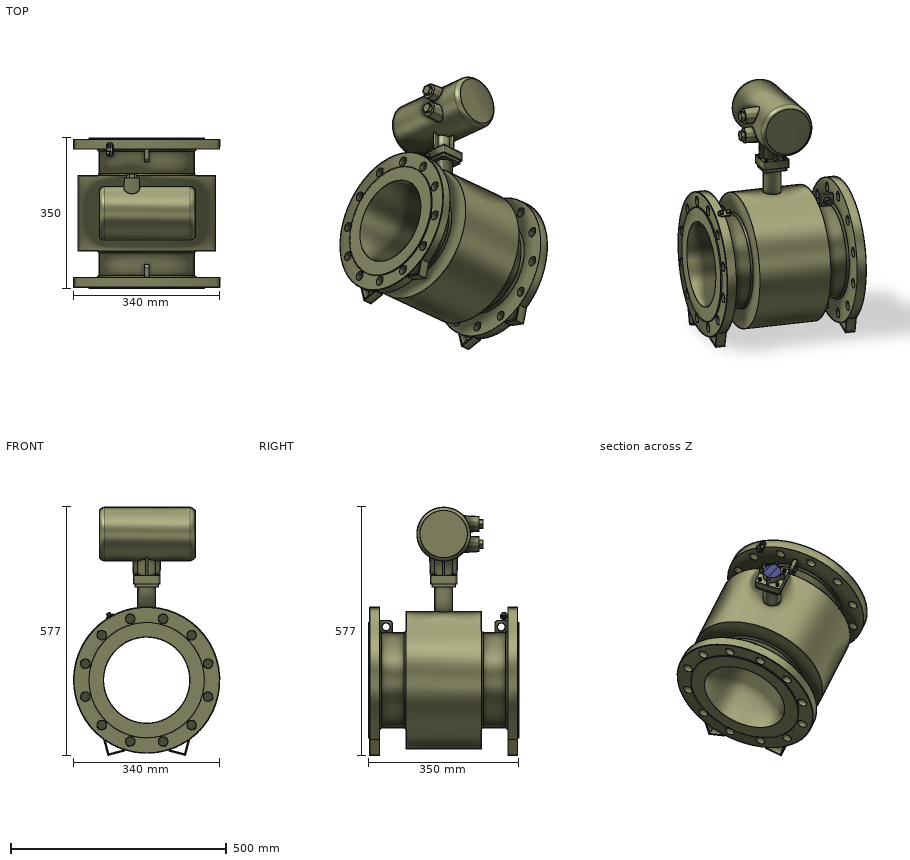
import cadquery as cq
import math


TOTAL_LENGTH = 350
TOTAL_HEIGHT = 577
BORE_DIA = 200
NECK_DIA = 221.5
BODY_DIA = 320
BODY_LENGTH = 175
FLANGE_DIA = 340
FLANGE_THICKNESS = 23
FLANGE_EDGE_CHAMFER = 1
RAISED_FACE_DIA = 268
RAISED_FACE_HEIGHT = 3
WELD_LENGTH = 5
FLANGE_WELD_RISE = 5
BODY_WELD_RISE = 3

FACE_Y = TOTAL_LENGTH / 2
FLANGE_FRONT_Y = FACE_Y - RAISED_FACE_HEIGHT
FLANGE_BACK_Y = FLANGE_FRONT_Y - FLANGE_THICKNESS
FLANGE_RADIUS = FLANGE_DIA / 2
NECK_RADIUS = NECK_DIA / 2
BODY_RADIUS = BODY_DIA / 2

BOLT_COUNT = 12
BOLT_HOLE_DIA = 22
BOLT_CIRCLE_DIA = 295
BOLT_PITCH_ANGLE = 360 / BOLT_COUNT

LUG_WIDTH = 10
LUG_LENGTH = 30
LUG_HEIGHT = 28
LUG_SINK = 5
LUG_CORNER_RADIUS = 8
LUG_HOLE_DIA = 18
LUG_HOLE_OFFSET = 15
LUG_HOLE_HEIGHT = 13

FOOT_CORNER_X = 90
FOOT_BOTTOM_Z = -175
FOOT_TILT = 15
FOOT_SIDE_LENGTH = 40
FOOT_BASE_LENGTH = 40
FOOT_SHEET = 3

EARTH_ANGLE = 30
EARTH_PLATE_WIDTH = 17
EARTH_PLATE_LENGTH = 32
EARTH_PLATE_THICKNESS = 4
EARTH_PLATE_END_Y = 164
EARTH_PLATE_SINK = 1
RIM_SCREW_DIA = 8
RIM_SCREW_HEAD_HEIGHT = 3
RIM_SCREW_DEPTH = 8
TERMINAL_BOLT_DIA = 5
TERMINAL_HEAD_DIA = 9
TERMINAL_HEAD_HEIGHT = 6.5
TERMINAL_NUT_HEIGHT = 4
TERMINAL_BOLT_END = 2

STEM_DIA = 42
LOWER_PLATE_BOTTOM_Z = 216
LOWER_PLATE_SIDE = 55
LOWER_PLATE_THICKNESS = 8
UPPER_PLATE_SIDE = 62
UPPER_PLATE_THICKNESS = 19
PLATE_CORNER_RADIUS = 3
UPPER_PLATE_BOTTOM_Z = LOWER_PLATE_BOTTOM_Z + LOWER_PLATE_THICKNESS
UPPER_PLATE_TOP_Z = UPPER_PLATE_BOTTOM_Z + UPPER_PLATE_THICKNESS
PLATE_SCREW_DIA = 8
PLATE_SCREW_SPACING = 44
PLATE_SCREW_HEIGHT = 4
PLATE_SCREW_SOCKET_DIA = 4.23
PLATE_SCREW_SOCKET_DEPTH = 2

HOUSING_DIA = 125
HOUSING_TOP_Z = TOTAL_HEIGHT + FOOT_BOTTOM_Z
HOUSING_Z = HOUSING_TOP_Z - HOUSING_DIA / 2
HOUSING_CENTRE_X = 1
HOUSING_BARREL_LENGTH = 199
HOUSING_CAP_LENGTH = 11.4
HOUSING_END_DIA = 110
HOUSING_CAP_BULGE = 1.2
HOUSING_LIP = 1.7

RIB_THICKNESS = 5
RIB_EDGE_RADIUS = 2.4
RIB_REACH_BOTTOM = 31
RIB_REACH_TOP = 35

GLAND_X = -34.5
GLAND_OFFSET_Z = 23.5
GLAND_TIP_Y = 82.5
GLAND_TIP_DIA = 34.5
GLAND_ROOT_Y = 40
GLAND_TAPER = 3.5
PLUG_ACROSS_FLATS = 20.5
PLUG_LENGTH = 9


def disc(radius, y_start, y_end):
    """Cylinder on the flow axis between two Y positions."""
    return cq.Workplane("XZ", origin=(0, y_start, 0)).circle(radius).extrude(y_start - y_end)


def post(radius, z_start, z_end):
    """Vertical cylinder on the Z axis."""
    return cq.Workplane("XY").workplane(offset=z_start).circle(radius).extrude(z_end - z_start)


def square_plate(side, z_bottom, thickness):
    """Square plate centred on the Z axis with rounded vertical corners."""
    plate = cq.Workplane("XY").workplane(offset=z_bottom).rect(side, side).extrude(thickness)
    return plate.edges("|Z").fillet(PLATE_CORNER_RADIUS)


def both_ends(shape):
    """The shape together with its mirror image at the other end of the tube."""
    return shape.union(shape.mirror("XZ"))


def make_tube():
    """Turned tube: body, welds, necks, flanges and raised faces, revolved as one outline."""
    body_end = BODY_LENGTH / 2
    half_profile = [
        (BODY_RADIUS, body_end),
        (NECK_RADIUS + BODY_WELD_RISE, body_end),
        (NECK_RADIUS, body_end + WELD_LENGTH),
        (NECK_RADIUS, FLANGE_BACK_Y - WELD_LENGTH),
        (NECK_RADIUS + FLANGE_WELD_RISE, FLANGE_BACK_Y),
        (FLANGE_RADIUS, FLANGE_BACK_Y),
        (FLANGE_RADIUS, FLANGE_FRONT_Y - FLANGE_EDGE_CHAMFER),
        (FLANGE_RADIUS - FLANGE_EDGE_CHAMFER, FLANGE_FRONT_Y),
        (RAISED_FACE_DIA / 2, FLANGE_FRONT_Y),
        (RAISED_FACE_DIA / 2, FACE_Y),
        (0, FACE_Y),
    ]
    mirrored_profile = [(radius, -y) for radius, y in reversed(half_profile)]
    outline = cq.Workplane("XY").polyline(mirrored_profile + half_profile).close()
    return outline.revolve(360, (0, 0, 0), (0, 1, 0))


def make_bolt_holes():
    """Bolt holes through one flange, straddling the vertical centre line."""
    holes = cq.Workplane("XZ", origin=(0, FACE_Y, 0)).polarArray(
        BOLT_CIRCLE_DIA / 2, BOLT_PITCH_ANGLE / 2, 360, BOLT_COUNT
    )
    return holes.circle(BOLT_HOLE_DIA / 2).extrude(FACE_Y - FLANGE_BACK_Y)


def make_lug():
    """Drilled lifting lug standing on the neck against the flange."""
    lug_foot_z = NECK_RADIUS - LUG_SINK
    lug_top_z = NECK_RADIUS + LUG_HEIGHT
    lug = cq.Workplane("XY").box(
        LUG_WIDTH, LUG_LENGTH, lug_top_z - lug_foot_z, centered=(True, False, False)
    )
    lug = lug.translate((0, FLANGE_BACK_Y - LUG_LENGTH, lug_foot_z))
    lug = lug.edges(">Z and <Y").fillet(LUG_CORNER_RADIUS)
    hole = cq.Workplane("YZ").center(FLANGE_BACK_Y - LUG_HOLE_OFFSET, NECK_RADIUS + LUG_HOLE_HEIGHT)
    return lug.cut(hole.circle(LUG_HOLE_DIA / 2).extrude(LUG_WIDTH, both=True))


def make_feet():
    """Pair of bent-sheet feet below one flange, as wide as the flange is thick."""
    outline = [
        (0, 0),
        (FOOT_BASE_LENGTH, 0),
        (FOOT_BASE_LENGTH, FOOT_SHEET),
        (FOOT_SHEET, FOOT_SHEET),
        (FOOT_SHEET, FOOT_SIDE_LENGTH),
        (0, FOOT_SIDE_LENGTH),
    ]
    foot = cq.Workplane("XZ").polyline(outline).close().extrude(-FLANGE_THICKNESS)
    foot = foot.rotate((0, 0, 0), (0, 1, 0), -FOOT_TILT)
    foot = foot.translate((-FOOT_CORNER_X, FLANGE_BACK_Y, FOOT_BOTTOM_Z))
    return foot.union(foot.mirror("YZ"))


def make_earth_terminal():
    """Earthing plate on the flange rim with a rim screw and an overhanging terminal bolt."""
    plate_bottom = FLANGE_RADIUS - EARTH_PLATE_SINK
    plate_top = plate_bottom + EARTH_PLATE_THICKNESS
    plate_mid_y = EARTH_PLATE_END_Y - EARTH_PLATE_LENGTH / 2
    screw_spacing = EARTH_PLATE_LENGTH - EARTH_PLATE_WIDTH
    rim_screw_y = plate_mid_y + screw_spacing / 2
    terminal_y = plate_mid_y - screw_spacing / 2

    plate = cq.Workplane("XY", origin=(0, plate_mid_y, plate_bottom))
    plate = plate.slot2D(EARTH_PLATE_LENGTH, EARTH_PLATE_WIDTH, 90).extrude(EARTH_PLATE_THICKNESS)
    rim_screw = post(RIM_SCREW_DIA / 2, plate_bottom - RIM_SCREW_DEPTH, plate_top + RIM_SCREW_HEAD_HEIGHT)
    nut_bottom = plate_bottom - TERMINAL_NUT_HEIGHT
    head = post(TERMINAL_HEAD_DIA / 2, plate_top, plate_top + TERMINAL_HEAD_HEIGHT)
    nut = post(TERMINAL_HEAD_DIA / 2, nut_bottom, plate_bottom)
    bolt_end = post(TERMINAL_BOLT_DIA / 2, nut_bottom - TERMINAL_BOLT_END, nut_bottom)
    terminal = head.union(nut).union(bolt_end).translate((0, terminal_y, 0))
    earth = plate.union(rim_screw.translate((0, rim_screw_y, 0))).union(terminal)
    return earth.rotate((0, 0, 0), (0, 1, 0), -EARTH_ANGLE)


def make_housing():
    """Horizontal transmitter barrel along X with bulged end caps."""
    radius = HOUSING_DIA / 2
    end_radius = HOUSING_END_DIA / 2
    left_edge = HOUSING_CENTRE_X - HOUSING_BARREL_LENGTH / 2
    right_edge = HOUSING_CENTRE_X + HOUSING_BARREL_LENGTH / 2
    bulge_radius = (radius + end_radius) / 2 + HOUSING_CAP_BULGE
    bulge_offset = HOUSING_CAP_LENGTH / 2 + HOUSING_CAP_BULGE / 2
    left_end = left_edge - HOUSING_CAP_LENGTH
    right_end = right_edge + HOUSING_CAP_LENGTH
    profile = (
        cq.Workplane("XZ")
        .moveTo(left_end, 0)
        .lineTo(left_end, end_radius)
        .threePointArc((left_edge - bulge_offset, bulge_radius), (left_edge, radius))
        .lineTo(right_edge, radius)
        .threePointArc((right_edge + bulge_offset, bulge_radius), (right_end, end_radius))
        .lineTo(right_end + HOUSING_LIP, end_radius)
        .lineTo(right_end + HOUSING_LIP, 0)
        .close()
    )
    return profile.revolve(360, (0, 0, 0), (1, 0, 0)).translate((0, 0, HOUSING_Z))


def make_rib():
    """Vertical cross rib of the pedestal along X, widening upwards, with rounded outer edges."""
    outline = [
        (-RIB_REACH_BOTTOM, UPPER_PLATE_TOP_Z),
        (RIB_REACH_BOTTOM, UPPER_PLATE_TOP_Z),
        (RIB_REACH_TOP, HOUSING_Z),
        (-RIB_REACH_TOP, HOUSING_Z),
    ]
    rib = cq.Workplane("XZ").polyline(outline).close().extrude(RIB_THICKNESS / 2, both=True)
    return rib.faces("<X or >X").edges("<Y or >Y").fillet(RIB_EDGE_RADIUS)


def make_plate_screws():
    """Socket-head screws in the four corners of the upper mounting plate."""
    corners = cq.Workplane("XY", origin=(0, 0, UPPER_PLATE_TOP_Z)).rect(
        PLATE_SCREW_SPACING, PLATE_SCREW_SPACING, forConstruction=True
    )
    heads = corners.vertices().circle(PLATE_SCREW_DIA / 2).extrude(PLATE_SCREW_HEIGHT)
    sockets = corners.vertices().circle(PLATE_SCREW_SOCKET_DIA / 2).extrude(PLATE_SCREW_SOCKET_DEPTH)
    return heads.cut(sockets.translate((0, 0, PLATE_SCREW_HEIGHT - PLATE_SCREW_SOCKET_DEPTH)))


def make_pedestal():
    """Stem, mounting plates, screws and ribs between the meter body and the housing."""
    stem_root_z = (BORE_DIA / 2 + BODY_RADIUS) / 2
    stem = post(STEM_DIA / 2, stem_root_z, HOUSING_Z)
    rib = make_rib()
    pedestal = stem.union(square_plate(LOWER_PLATE_SIDE, LOWER_PLATE_BOTTOM_Z, LOWER_PLATE_THICKNESS))
    pedestal = pedestal.union(square_plate(UPPER_PLATE_SIDE, UPPER_PLATE_BOTTOM_Z, UPPER_PLATE_THICKNESS))
    pedestal = pedestal.union(rib).union(rib.rotate((0, 0, 0), (0, 0, 1), 90))
    return pedestal.union(make_plate_screws())


def make_gland(z):
    """Tapered cable entry on the +Y side of the housing, closed by a hexagonal plug."""
    length = GLAND_TIP_Y - GLAND_ROOT_Y
    root_radius = GLAND_TIP_DIA / 2 + length * math.tan(math.radians(GLAND_TAPER))
    cone = cq.Solid.makeCone(
        root_radius, GLAND_TIP_DIA / 2, length, cq.Vector(GLAND_X, GLAND_ROOT_Y, z), cq.Vector(0, 1, 0)
    )
    across_corners = PLUG_ACROSS_FLATS / math.cos(math.pi / 6)
    plug = cq.Workplane("XZ", origin=(GLAND_X, GLAND_TIP_Y, z))
    plug = plug.polygon(6, across_corners).extrude(-PLUG_LENGTH)
    return plug.union(cq.Workplane(cone))


meter = make_tube()
meter = meter.union(both_ends(make_lug()))
meter = meter.union(both_ends(make_feet()))
meter = meter.cut(both_ends(make_bolt_holes()))
meter = meter.union(make_earth_terminal())
meter = meter.union(make_pedestal())
meter = meter.union(make_housing())
for side in (-1, 1):
    meter = meter.union(make_gland(HOUSING_Z + side * GLAND_OFFSET_Z))

result = meter.cut(disc(BORE_DIA / 2, -FACE_Y, FACE_Y))